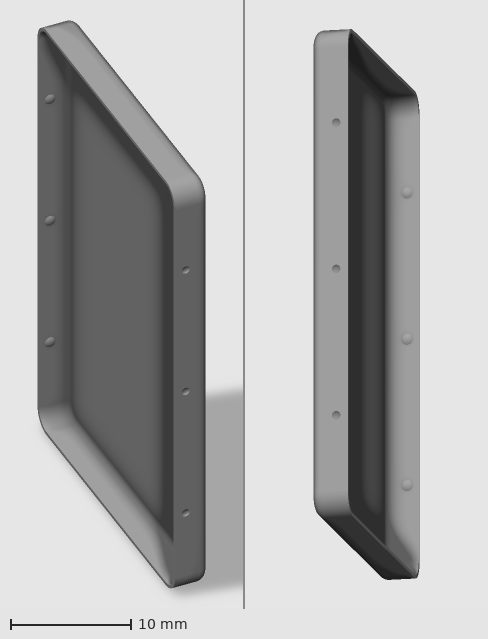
import cadquery as cq

width = 27.0
depth = 3.1
height = 41.6

wall = 0.3
corner_radius = 1.8
back_edge_radius = 0.8

hollow_radius = 0.4
hollow_depth = 0.23
bump_radius = 0.75
bump_height = 0.18
dimple_pitch = 12.5
dimples_per_side = 3
dimple_from_rim = 1.0

front_y = -depth / 2
dimple_y = front_y + dimple_from_rim


def rounded_block(inset):
    """Block inset from the outer skin, starting at the rim, with rounded corners and back edge."""
    return (
        cq.Workplane("XZ", origin=(0, front_y, 0))
        .rect(width - 2 * inset, height - 2 * inset)
        .extrude(-(depth - inset))
        .edges("|Y")
        .fillet(corner_radius - inset)
        .faces(">Y")
        .edges()
        .fillet(back_edge_radius - inset)
    )


def dimple_ball(radius, tip_x, z):
    """Ball on the +X side whose innermost point is at tip_x, at height z."""
    return cq.Workplane("XY").sphere(radius).translate((tip_x + radius, dimple_y, z))


def press_dimple(tray, z):
    """Raise the inner face and hollow the outer face of both side walls at height z."""
    outer_x = width / 2
    inner_x = outer_x - wall
    bump = dimple_ball(bump_radius, inner_x - bump_height, z).intersect(rounded_block(0))
    hollow = dimple_ball(hollow_radius, outer_x - hollow_depth, z)
    tray = tray.union(bump).cut(hollow)
    return tray.union(bump.mirror("YZ")).cut(hollow.mirror("YZ"))


tray = rounded_block(0).cut(rounded_block(wall))
for index in range(dimples_per_side):
    dimple_z = (index - (dimples_per_side - 1) / 2) * dimple_pitch
    tray = press_dimple(tray, dimple_z)

result = tray